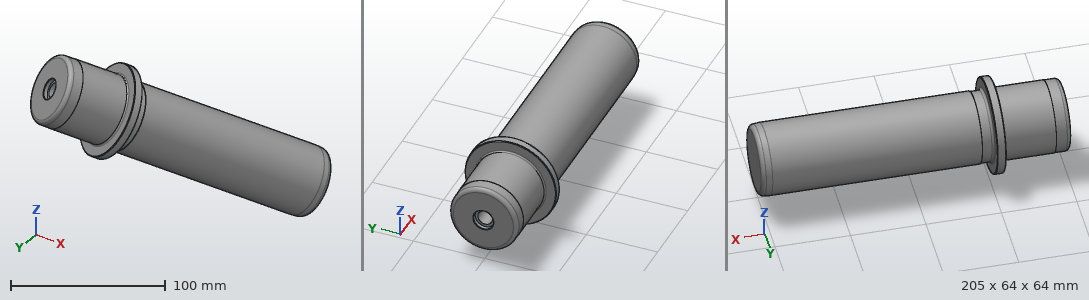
import cadquery as cq

spigot_length = 45.0
flange_width = 6.0
total_length = 205.0
body_radius = 24.0
flange_radius = 32.0
flange_chamfer = 0.5

spigot_lead_length = 10.0
spigot_lead_radius = 23.85
spigot_round = 2.8

spigot_root_round = 1.0
relief_radius = 23.5
relief_length = 8.0
relief_root_round = 1.7

tip_taper_length = 7.0
tip_taper_depth = 0.7
tip_round = 3.2

counterbore_radius = 7.0
counterbore_chamfer = 0.4
counterbore_depth = 3.0
bore_radius = 5.1
bore_depth = 30.0
drill_tip_length = 3.0

spigot_end = -spigot_length
tip_end = spigot_end + total_length


def revolve_about_x(outline):
    """Turn a closed XZ outline fully around the X axis."""
    return outline.close().revolve(360, (0, 0, 0), (1, 0, 0))


def make_spigot():
    """Short end cylinder with a slightly reduced, rounded lead-in."""
    lead = (
        cq.Workplane("YZ", origin=(spigot_end, 0, 0))
        .circle(spigot_lead_radius)
        .extrude(spigot_lead_length)
        .faces("<X")
        .edges()
        .fillet(spigot_round)
    )
    seat = (
        cq.Workplane("YZ", origin=(spigot_end + spigot_lead_length, 0, 0))
        .circle(body_radius)
        .extrude(spigot_length - spigot_lead_length)
    )
    return lead.union(seat)


def make_flange():
    """Collar with both rims chamfered."""
    return (
        cq.Workplane("YZ")
        .circle(flange_radius)
        .extrude(flange_width)
        .edges()
        .chamfer(flange_chamfer)
    )


def make_guide():
    """Long cylinder with a relief behind the flange and a tapered, rounded tip."""
    relief_end = flange_width + relief_length
    taper_start = tip_end - tip_taper_length
    tip_radius = body_radius - tip_taper_depth
    outline = (
        cq.Workplane("XZ")
        .lineTo(0, relief_radius)
        .lineTo(relief_end, relief_radius)
        .lineTo(relief_end, body_radius)
        .lineTo(taper_start, body_radius)
        .lineTo(tip_end, tip_radius)
        .lineTo(tip_end, 0)
    )
    return revolve_about_x(outline).faces(">X").edges().fillet(tip_round)


def make_root_fillet(face_x, direction, shaft_radius, size):
    """Concave ring filling the corner between the shaft and a flange face."""
    overlap = 0.5
    inner_radius = shaft_radius - overlap
    outline = (
        cq.Workplane("XZ")
        .moveTo(face_x, inner_radius)
        .lineTo(face_x, shaft_radius + size)
        .radiusArc((face_x + direction * size, shaft_radius), -direction * size)
        .lineTo(face_x + direction * size, inner_radius)
    )
    return revolve_about_x(outline)


def make_center_hole():
    """Stepped blind hole with a chamfered mouth and a conical bottom."""
    outline = (
        cq.Workplane("XZ")
        .moveTo(spigot_end, 0)
        .lineTo(spigot_end, counterbore_radius + counterbore_chamfer)
        .lineTo(spigot_end + counterbore_chamfer, counterbore_radius)
        .lineTo(spigot_end + counterbore_depth, counterbore_radius)
        .lineTo(spigot_end + counterbore_depth, bore_radius)
        .lineTo(spigot_end + bore_depth, bore_radius)
        .lineTo(spigot_end + bore_depth + drill_tip_length, 0)
    )
    return revolve_about_x(outline)


result = (
    make_spigot()
    .union(make_flange())
    .union(make_guide())
    .union(make_root_fillet(0, -1, body_radius, spigot_root_round))
    .union(make_root_fillet(flange_width, 1, relief_radius, relief_root_round))
    .cut(make_center_hole())
)